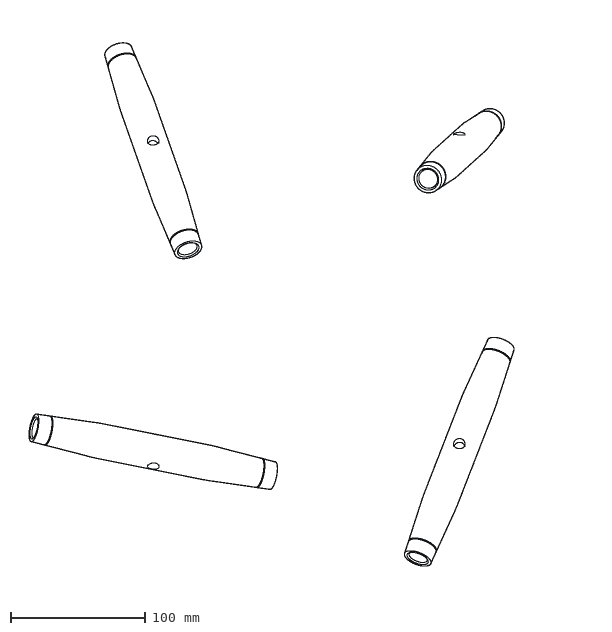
import cadquery as cq
import math

length = 190.0
body_diameter = 26.5

taper_angle = math.radians(3.0)
taper_length = 47.5
blend_length = 5.1

groove_offset = 10.3
groove_width = 0.8
groove_depth = 0.2

bore_diameter = 14.5
countersink_diameter = 16.7

cross_hole_diameter = 8.5

half_length = length / 2
body_radius = body_diameter / 2
blend_radius = blend_length / math.sin(taper_angle)
cylinder_end = half_length - taper_length - blend_length
taper_start = half_length - taper_length
taper_start_radius = body_radius - blend_radius * (1 - math.cos(taper_angle))


def taper_radius(x):
    """Outer radius of the tapered end at distance x from mid-length."""
    return taper_start_radius - (x - taper_start) * math.tan(taper_angle)


def make_body():
    blend_mid_x = cylinder_end + blend_radius * math.sin(taper_angle / 2)
    blend_mid_radius = body_radius - blend_radius * (1 - math.cos(taper_angle / 2))
    return (
        cq.Workplane("XZ")
        .moveTo(-half_length, 0)
        .lineTo(-half_length, taper_radius(half_length))
        .lineTo(-taper_start, taper_start_radius)
        .threePointArc((-blend_mid_x, blend_mid_radius), (-cylinder_end, body_radius))
        .lineTo(cylinder_end, body_radius)
        .threePointArc((blend_mid_x, blend_mid_radius), (taper_start, taper_start_radius))
        .lineTo(half_length, taper_radius(half_length))
        .lineTo(half_length, 0)
        .close()
        .revolve(360, (0, 0, 0), (1, 0, 0))
    )


def make_groove():
    outer_x = half_length - groove_offset
    inner_x = outer_x - groove_width
    floor_radius = taper_radius(outer_x) - groove_depth
    return (
        cq.Workplane("YZ", origin=(inner_x, 0, 0))
        .circle(body_radius)
        .circle(floor_radius)
        .extrude(groove_width)
    )


def make_bore():
    bore_radius = bore_diameter / 2
    countersink_radius = countersink_diameter / 2
    countersink_depth = countersink_radius - bore_radius
    countersink_start = half_length - countersink_depth
    return (
        cq.Workplane("XZ")
        .moveTo(-half_length, 0)
        .lineTo(-half_length, countersink_radius)
        .lineTo(-countersink_start, bore_radius)
        .lineTo(countersink_start, bore_radius)
        .lineTo(half_length, countersink_radius)
        .lineTo(half_length, 0)
        .close()
        .revolve(360, (0, 0, 0), (1, 0, 0))
    )


def make_cross_hole():
    return cq.Workplane("XY").circle(cross_hole_diameter / 2).extrude(body_diameter, both=True)


groove = make_groove()
result = (
    make_body()
    .cut(groove)
    .cut(groove.mirror("YZ"))
    .cut(make_bore())
    .cut(make_cross_hole())
)